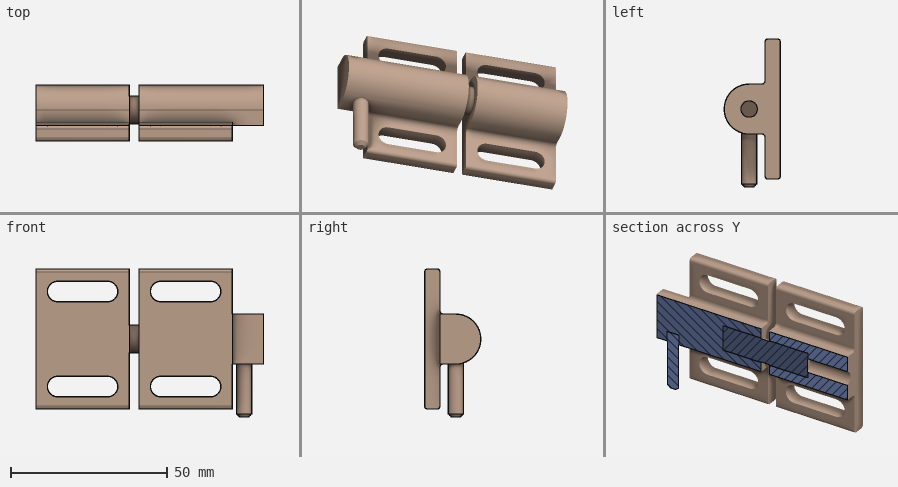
import cadquery as cq

total_length = 73.0
leaf_length = 30.0
leaf_gap = 3.0
right_leaf_x = leaf_length + leaf_gap
knuckle_extension = total_length - right_leaf_x - leaf_length

leaf_height = 45.0
plate_thickness = 5.0
axis_to_front = 10.0
knuckle_radius = 8.0
edge_radius = 1.0
plate_front_y = -axis_to_front
plate_back_y = plate_front_y + plate_thickness

slot_length = 22.5
slot_width = 6.5
slot_spacing = 30.45

hinge_pin_radius = 4.5
hinge_pin_depth = 14.6
end_bore_radius = 2.6

cross_pin_radius = 2.5
cross_pin_chamfer = 1.1
cross_pin_end_distance = 6.3
cross_pin_x = total_length - cross_pin_end_distance
cross_pin_overhang = 2.55
cross_pin_bottom_z = -leaf_height / 2 - cross_pin_overhang
cross_pin_top_z = -hinge_pin_radius


def x_cylinder(radius, start_x, length):
    """Cylinder on the hinge axis."""
    return cq.Workplane("YZ", origin=(start_x, 0, 0)).circle(radius).extrude(length)


def make_knuckle(start_x, length):
    """D-shaped bar with its flat side on the back of the plate."""
    return (
        cq.Workplane("YZ", origin=(start_x, 0, 0))
        .moveTo(plate_back_y, -knuckle_radius)
        .lineTo(0, -knuckle_radius)
        .threePointArc((knuckle_radius, 0), (0, knuckle_radius))
        .lineTo(plate_back_y, knuckle_radius)
        .close()
        .extrude(length)
    )


def make_plate(start_x):
    """Flat plate with its long edges rounded."""
    return (
        cq.Workplane("XY")
        .box(leaf_length, plate_thickness, leaf_height, centered=(False, False, True))
        .edges("|X")
        .fillet(edge_radius)
        .translate((start_x, plate_front_y, 0))
    )


def make_root_fillet(start_x, side):
    """Concave fillet between plate and knuckle; side is +1 above the axis and -1 below it."""
    corner_z = side * knuckle_radius
    tangent_y = plate_back_y + edge_radius
    tangent_z = corner_z + side * edge_radius
    square = (
        cq.Workplane("YZ", origin=(start_x, 0, 0))
        .center((plate_back_y + tangent_y) / 2, (corner_z + tangent_z) / 2)
        .rect(edge_radius, edge_radius)
        .extrude(leaf_length)
    )
    round_cut = (
        cq.Workplane("YZ", origin=(start_x, 0, 0))
        .center(tangent_y, tangent_z)
        .circle(edge_radius)
        .extrude(leaf_length)
    )
    return square.cut(round_cut)


def make_slots(start_x):
    """Cutters for the two mounting slots of a leaf."""
    return (
        cq.Workplane("XZ", origin=(start_x + leaf_length / 2, plate_back_y, 0))
        .pushPoints([(0, -slot_spacing / 2), (0, slot_spacing / 2)])
        .slot2D(slot_length, slot_width)
        .extrude(plate_thickness)
    )


def make_leaf(start_x, knuckle_length):
    """Slotted plate and knuckle, still without bores."""
    leaf = make_plate(start_x).union(make_knuckle(start_x, knuckle_length))
    for side in (-1, 1):
        leaf = leaf.union(make_root_fillet(start_x, side))
    return leaf.cut(make_slots(start_x))


def make_hinge_pin():
    """Round pin crossing the gap, seated equally deep in both leaves."""
    start_x = leaf_length - hinge_pin_depth
    return x_cylinder(hinge_pin_radius, start_x, leaf_gap + 2 * hinge_pin_depth)


def make_cross_pin():
    """Vertical pin with a chamfered lower end."""
    return (
        cq.Workplane("XY", origin=(cross_pin_x, 0, cross_pin_bottom_z))
        .circle(cross_pin_radius)
        .extrude(cross_pin_top_z - cross_pin_bottom_z)
        .faces("<Z")
        .chamfer(cross_pin_chamfer)
    )


hinge_pin = make_hinge_pin()
cross_pin = make_cross_pin()

end_bore = x_cylinder(end_bore_radius, 0, leaf_length)
left_leaf = make_leaf(0, leaf_length).cut(end_bore).cut(hinge_pin)

right_leaf = make_leaf(right_leaf_x, leaf_length + knuckle_extension).cut(hinge_pin).cut(cross_pin)

result = cq.Compound.makeCompound(
    [left_leaf.solids().val(), right_leaf.solids().val(), hinge_pin.val(), cross_pin.solids().val()]
)